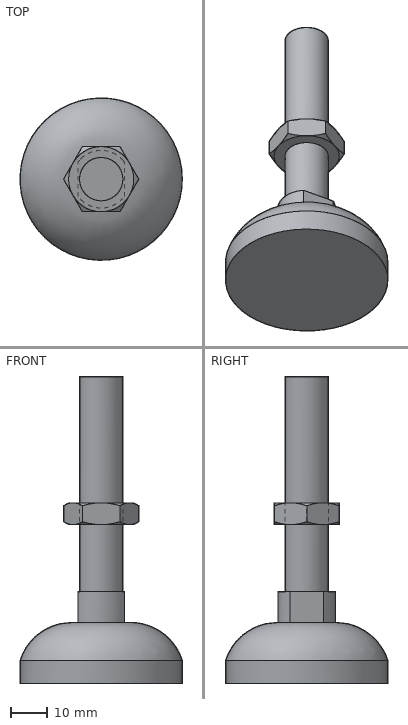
import cadquery as cq
import math

foot_diameter = 45.0
rim_height = 6.5
foot_height = 17.0

rod_diameter = 12.0
collar_diameter = 16.0
collar_flat_width = 12.9
collar_height = 8.5
total_height = 85.0

nut_across_flats = 18.0
nut_height = 6.0
nut_bottom = 44.0
nut_chamfer_angle = 30.0

foot_radius = foot_diameter / 2
collar_top = foot_height + collar_height


def make_foot():
    """Revolve the rim and the dome, whose arc is level where it meets the flat top."""
    flat_radius = collar_diameter / 2
    return (
        cq.Workplane("XZ")
        .lineTo(0, foot_height)
        .lineTo(flat_radius, foot_height)
        .tangentArcPoint((foot_radius, rim_height), relative=False)
        .lineTo(foot_radius, 0)
        .close()
        .revolve(360, (0, 0, 0), (0, 1, 0))
    )


def make_stud():
    """Flatted collar standing on the foot, with the rod rising from it."""
    flats = (
        cq.Workplane("XY", origin=(0, 0, foot_height))
        .rect(collar_flat_width, collar_diameter)
        .extrude(collar_height)
    )
    collar = (
        cq.Workplane("XY", origin=(0, 0, foot_height))
        .circle(collar_diameter / 2)
        .extrude(collar_height)
        .intersect(flats)
    )
    rod = (
        cq.Workplane("XY", origin=(0, 0, collar_top))
        .circle(rod_diameter / 2)
        .extrude(total_height - collar_top)
    )
    return collar.union(rod)


def make_nut():
    """Hexagonal nut with corners along X, both faces cut back by a cone."""
    across_corners = nut_across_flats / math.cos(math.radians(30))
    face_radius = nut_across_flats / 2
    corner_radius = across_corners / 2
    corner_drop = (corner_radius - face_radius) * math.tan(math.radians(nut_chamfer_angle))
    nut_top = nut_bottom + nut_height

    hexagon = (
        cq.Workplane("XY", origin=(0, 0, nut_bottom))
        .polygon(6, across_corners)
        .extrude(nut_height)
    )
    envelope = (
        cq.Workplane("XZ")
        .moveTo(0, nut_bottom)
        .lineTo(face_radius, nut_bottom)
        .lineTo(corner_radius, nut_bottom + corner_drop)
        .lineTo(corner_radius, nut_top - corner_drop)
        .lineTo(face_radius, nut_top)
        .lineTo(0, nut_top)
        .close()
        .revolve(360, (0, 0, 0), (0, 1, 0))
    )
    bore = (
        cq.Workplane("XY", origin=(0, 0, nut_bottom))
        .circle(rod_diameter / 2)
        .extrude(nut_height)
    )
    return hexagon.intersect(envelope).cut(bore)


foot = make_foot()
stud = make_stud()
nut = make_nut()

result = cq.Compound.makeCompound([foot.val(), stud.val(), nut.val()])